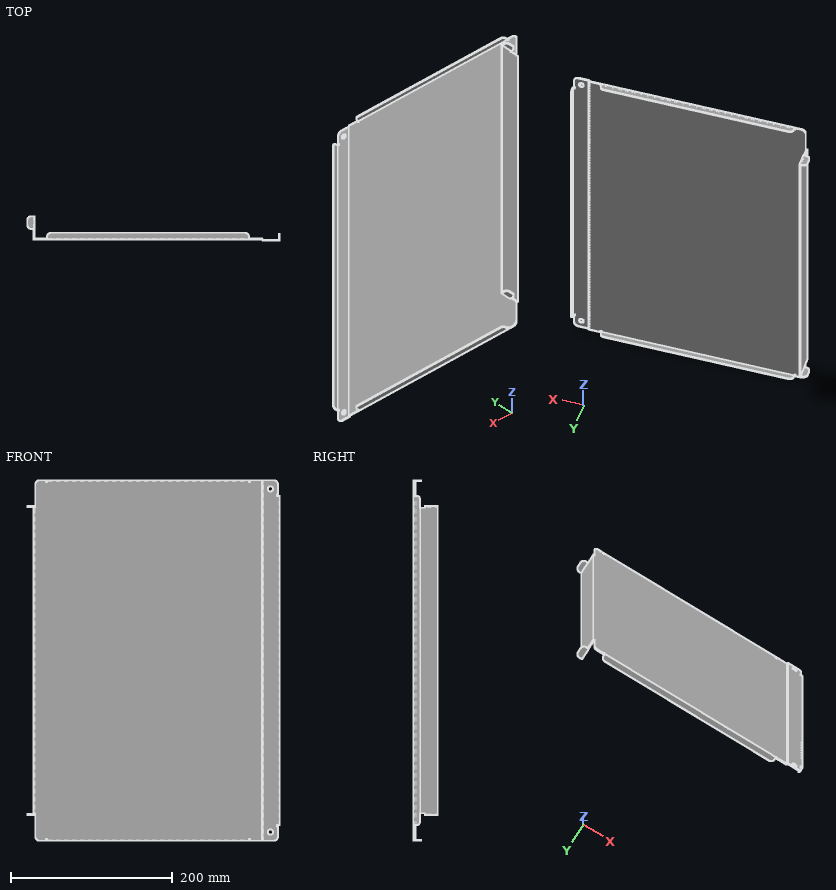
import cadquery as cq
import math

width = 312.84
depth = 30.48
height = 447.0
thickness = 1.5

sheet_left = 9.8
right_edge_inset = 2.0
sheet_right = width - right_edge_inset
sheet_corner_radius = 6.0
half_height = height / 2

step_start = 290.2
step_offset = 1.48
step_angle = math.radians(45)

hole_diameter = 6.2
hole_x = 301.2
hole_edge_distance = 11.0

end_flange_left = 24.4
end_flange_right = 274.8
end_flange_back = 10.0
end_flange_radius = 5.0

right_flange_inset = 19.5
right_flange_length = height - 2 * right_flange_inset
right_flange_back = 8.5
right_flange_radius = 4.0

left_flange_x = 7.7
left_flange_inset = 34.2
left_flange_length = height - 2 * left_flange_inset
tab_inset = 32.0
tab_span = height - 2 * tab_inset
tab_front = 14.5
tab_radius = 5.0

relief_width = 1.3
relief_depth = 2.2


def box(x_range, y_range, z_range):
    """Axis-aligned block between pairs of limits."""
    size = [high - low for low, high in (x_range, y_range, z_range)]
    corner = (x_range[0], y_range[0], z_range[0])
    return cq.Workplane("XY").box(*size, centered=False).translate(corner)


def stepped_sheet():
    """Sheet of constant thickness with a sloped step, rounded at its four corners."""
    step_end = step_start + step_offset / math.tan(step_angle)
    back_shift = thickness * math.tan(step_angle / 2)
    profile = [
        (sheet_left, step_offset),
        (step_start, step_offset),
        (step_end, 0),
        (sheet_right, 0),
        (sheet_right, thickness),
        (step_end + back_shift, thickness),
        (step_start + back_shift, step_offset + thickness),
        (sheet_left, step_offset + thickness),
    ]
    sheet = cq.Workplane("XY").polyline(profile).close().extrude(half_height, both=True)
    sheet = sheet.faces("<X").edges("|Y").fillet(sheet_corner_radius)
    return sheet.faces(">X").edges("|Y").fillet(sheet_corner_radius)


def end_flange():
    """Top flange, running back from the upper edge of the sheet."""
    flange = box(
        (end_flange_left, end_flange_right),
        (step_offset, end_flange_back),
        (half_height - thickness, half_height),
    )
    return flange.faces(">Y").edges("|Z").fillet(end_flange_radius)


def end_flange_reliefs():
    """Notches in the upper edge of the sheet, one at each end of the top flange."""
    z_range = (half_height - relief_depth, half_height)
    y_range = (0, step_offset + thickness)
    left = box((end_flange_left - relief_width, end_flange_left), y_range, z_range)
    right = box((end_flange_right, end_flange_right + relief_width), y_range, z_range)
    return left.union(right)


def right_flange():
    """Flange running back from the right edge, with the web that joins it to the sheet."""
    half_length = right_flange_length / 2
    z_range = (-half_length, half_length)
    flange = box((width - thickness, width), (0, right_flange_back), z_range)
    flange = flange.faces(">Y").edges("|X").fillet(right_flange_radius)
    web = box((sheet_right - thickness, width - thickness), (0, thickness), z_range)
    return flange.union(web)


def right_flange_relief():
    """Notch in the right edge of the sheet, just above the right flange."""
    z_start = right_flange_length / 2
    return box(
        (sheet_right - relief_width, sheet_right),
        (0, thickness),
        (z_start, z_start + relief_width),
    )


def left_flange():
    """Flange running back from the left edge, with the web that joins it to the sheet."""
    half_length = left_flange_length / 2
    z_range = (-half_length, half_length)
    flange = box((left_flange_x, left_flange_x + thickness), (step_offset, depth), z_range)
    web = box((left_flange_x, sheet_left + thickness), (step_offset, step_offset + thickness), z_range)
    return flange.union(web)


def left_tab():
    """Upper tab, bent outward from the top end of the left flange."""
    tab_top = tab_span / 2
    tab = box((0, left_flange_x + thickness), (tab_front, depth), (tab_top - thickness, tab_top))
    tab = tab.faces("<X").edges("|Z").fillet(tab_radius)
    neck = box(
        (left_flange_x, left_flange_x + thickness),
        (tab_front, depth),
        (left_flange_length / 2 - thickness, tab_top),
    )
    return tab.union(neck)


def strip_hole():
    """Cutter for the upper hole of the right-hand strip."""
    hole_z = half_height - hole_edge_distance
    cutter = cq.Workplane("XZ").center(hole_x, hole_z).circle(hole_diameter / 2)
    return cutter.extrude(-(step_offset + thickness))


def with_mirror(feature):
    """The feature together with its reflection in the mid-height plane."""
    return feature.union(feature.mirror("XY"))


cuts = with_mirror(end_flange_reliefs().union(right_flange_relief()).union(strip_hole()))
result = stepped_sheet().cut(cuts)
result = result.union(with_mirror(end_flange()))
result = result.union(right_flange())
result = result.union(left_flange())
result = result.union(with_mirror(left_tab()))